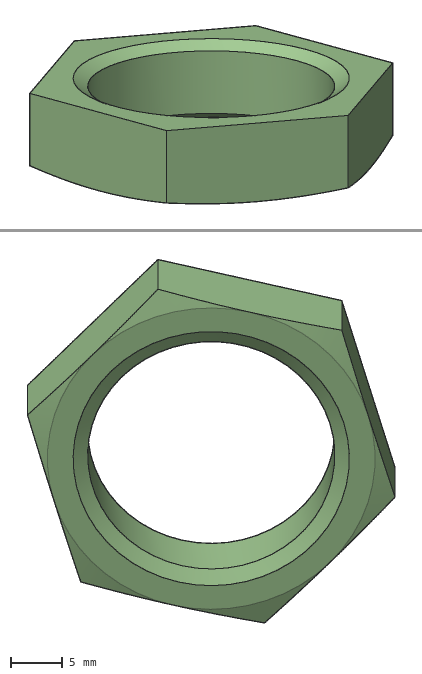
import cadquery as cq
import math

across_corners = 36.95
across_flats = across_corners * math.cos(math.radians(30))
thickness = 8.0

bore_diameter = 24.13
countersink_diameter = 26.97
countersink_angle = 30.0

corner_bevel_height = 0.63
bevel_circle_diameter = across_flats


def hexagon_body():
    return (
        cq.Workplane("XY")
        .polygon(6, across_corners)
        .extrude(thickness)
        .rotate((0, 0, 0), (0, 0, 1), 30)
    )


def corner_bevel_envelope():
    """Solid of revolution that trims the hexagon corners at the bottom."""
    corner_radius = across_corners / 2
    bevel_start_radius = bevel_circle_diameter / 2
    bevel_slope = corner_bevel_height / (corner_radius - bevel_start_radius)
    envelope_radius = across_corners * 0.6
    envelope_rise = bevel_slope * (envelope_radius - bevel_start_radius)
    return (
        cq.Workplane("XZ")
        .polyline([
            (0, 0),
            (bevel_start_radius, 0),
            (envelope_radius, envelope_rise),
            (envelope_radius, thickness),
            (0, thickness),
        ])
        .close()
        .revolve(360, (0, 0, 0), (0, 1, 0))
    )


def countersunk_bore():
    """Through bore with a conical countersink at both ends."""
    bore_radius = bore_diameter / 2
    sink_radius = countersink_diameter / 2
    sink_depth = (sink_radius - bore_radius) * math.tan(math.radians(countersink_angle))
    return (
        cq.Workplane("XZ")
        .polyline([
            (0, 0),
            (sink_radius, 0),
            (bore_radius, sink_depth),
            (bore_radius, thickness - sink_depth),
            (sink_radius, thickness),
            (0, thickness),
        ])
        .close()
        .revolve(360, (0, 0, 0), (0, 1, 0))
    )


result = hexagon_body().intersect(corner_bevel_envelope()).cut(countersunk_bore())